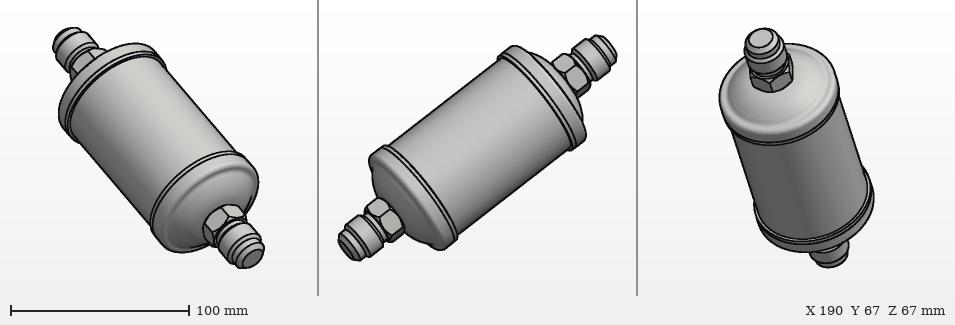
import cadquery as cq
import math

total_length = 190.0

tip_radius = 6.8
neck_radius = 9.5
collar_radius = 22.6 / 2
collar_start = 6.6
collar_end = 19.4

hex_start = 22.2
hex_across_flats = 22.5
hex_end_radius = 11.0

dome_start = 33.6
dome_radius = 24.7
cone_angle = math.radians(47)
dome_flat_radius = 9.5

rim_face = 42.4
rim_radius = 67.0 / 2
rim_fillet = 2.7
valley_fillet = 3.2
band_start = 51.0
band_step = 0.1
rim_end = 53.4

shell_radius = 31.7

half_length = total_length / 2


def revolve_about_x(profile):
    return profile.close().revolve(360, (0, 0, 0), (1, 0, 0))


def on_arc(center, radius, angle):
    """Point on an arc, angle measured from -X outwards; a negative radius gives the opposite point."""
    return (center[0] - radius * math.cos(angle), center[1] + radius * math.sin(angle))


def make_cap():
    """Half of the canister: dome, cone, valley, rounded rim and half of the shell."""
    dome_center = (dome_start + dome_radius - half_length, dome_flat_radius)
    rim_x = rim_face - half_length
    dome_end_angle = math.pi / 2 - cone_angle
    dome_mid = on_arc(dome_center, dome_radius, dome_end_angle / 2)
    dome_end = on_arc(dome_center, dome_radius, dome_end_angle)

    cone_end_x = rim_x - valley_fillet * (1 - math.cos(dome_end_angle))
    cone_end_radius = dome_end[1] + (cone_end_x - dome_end[0]) * math.tan(cone_angle)
    valley_radius = cone_end_radius + valley_fillet * math.sin(dome_end_angle)
    valley_center = (rim_x - valley_fillet, valley_radius)
    valley_mid = on_arc(valley_center, -valley_fillet, dome_end_angle / 2)

    rim_center = (rim_x + rim_fillet, rim_radius - rim_fillet)
    rim_mid = on_arc(rim_center, rim_fillet, math.pi / 4)

    return revolve_about_x(
        cq.Workplane("XY")
        .moveTo(0, 0)
        .lineTo(dome_start - half_length, 0)
        .lineTo(dome_start - half_length, dome_flat_radius)
        .threePointArc(dome_mid, dome_end)
        .lineTo(cone_end_x, cone_end_radius)
        .threePointArc(valley_mid, (rim_x, valley_radius))
        .lineTo(rim_x, rim_center[1])
        .threePointArc(rim_mid, (rim_center[0], rim_radius))
        .lineTo(band_start - half_length, rim_radius)
        .lineTo(band_start - half_length, rim_radius - band_step)
        .lineTo(rim_end - half_length, rim_radius - band_step)
        .lineTo(rim_end - half_length, shell_radius)
        .lineTo(0, shell_radius)
    )


def make_fitting():
    """Flare fitting: coned tip, neck and a collar with 45 degree edges."""
    tip_chamfer = neck_radius - tip_radius
    collar_chamfer = collar_radius - neck_radius
    return revolve_about_x(
        cq.Workplane("XY")
        .moveTo(-half_length, 0)
        .lineTo(-half_length, tip_radius)
        .lineTo(tip_chamfer - half_length, neck_radius)
        .lineTo(collar_start - half_length, neck_radius)
        .lineTo(collar_start + collar_chamfer - half_length, collar_radius)
        .lineTo(collar_end - collar_chamfer - half_length, collar_radius)
        .lineTo(collar_end - half_length, neck_radius)
        .lineTo(dome_start - half_length, neck_radius)
        .lineTo(dome_start - half_length, 0)
    )


def make_hexagon():
    """Hexagon with corners on +Z and -Z, its corners bevelled at 45 degrees on both ends."""
    length = dome_start - hex_start
    corner_radius = hex_across_flats / 2 / math.cos(math.pi / 6)
    bevel = corner_radius - hex_end_radius
    prism = (
        cq.Workplane("YZ", origin=(hex_start - half_length, 0, 0))
        .transformed(rotate=(0, 0, 90))
        .polygon(6, 2 * corner_radius)
        .extrude(length)
    )
    bevelled_round = (
        cq.Workplane("YZ", origin=(hex_start - half_length, 0, 0))
        .circle(corner_radius)
        .extrude(length)
        .faces("<X or >X")
        .chamfer(bevel)
    )
    return prism.intersect(bevelled_round)


left_half = make_cap().union(make_fitting()).union(make_hexagon())
result = left_half.union(left_half.mirror("YZ"))